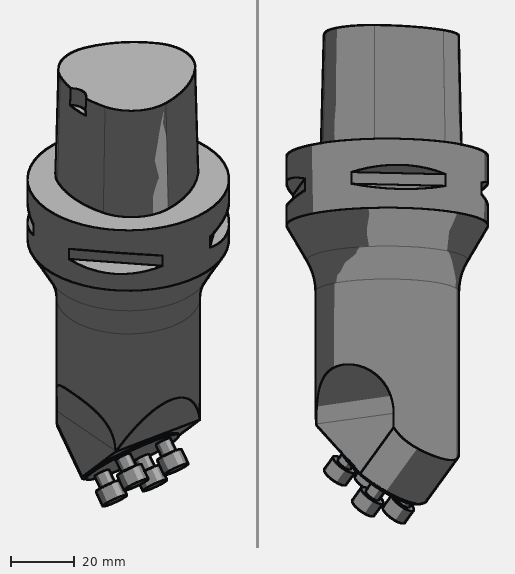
import cadquery as cq
import math

flange_diameter = 63.0
flange_height = 22.0
body_diameter = 45.0
neck_angle = math.radians(30)
neck_radius = 20.0

shank_length = 38.0
shank_taper = math.degrees(math.atan(1 / 40))
lobe_reach = 23.5
lobe_radius = 15.6
side_reach = 20.7
notch_radius = 5.0
notch_center_y = -22.7
notch_depth = 6.1

groove_count = 4
groove_center_z = -12.1
groove_floor_height = 3.7
groove_mouth_height = 7.7
groove_depth = 3.7

head_pivot_z = -95.9
head_length = 3.8
head_diameter = 35.6
seat_diameter = 32.0
seat_height = 0.6
seat_shift = 1.4

flat_width = 33.0
flat_top_z = -85.6
flat_runout_radius = 25.2
relief_top_z = -69.5
relief_angle = math.radians(23.5)

screw_spacing = 15.6
screw_diameter = 5.0
screw_head_diameter = 8.5
screw_head_height = 5.0
screw_length = 10.3

flange_radius = flange_diameter / 2
body_radius = body_diameter / 2
head_radius = head_diameter / 2
flat_offset = flat_width / 2
reach = 153.4

HEAD_DIRECTION = (1, 0, -1)
head_step = head_length / math.sqrt(2)
end_face = cq.Plane(
    origin=(head_step, 0, head_pivot_z - head_step),
    xDir=(0, 1, 0),
    normal=HEAD_DIRECTION,
)


def make_body():
    """Flange, conical neck, blend and a cylinder long enough to be trimmed by the end face."""
    cone_end_radius = body_radius + neck_radius * (1 - math.cos(neck_angle))
    cone_end_z = -flange_height - (flange_radius - cone_end_radius) / math.tan(neck_angle)
    blend_end_z = cone_end_z - neck_radius * math.sin(neck_angle)
    half_angle = neck_angle / 2
    blend_middle = (
        body_radius + neck_radius * (1 - math.cos(half_angle)),
        blend_end_z + neck_radius * math.sin(half_angle),
    )
    return (
        cq.Workplane("XZ")
        .lineTo(flange_radius, 0)
        .lineTo(flange_radius, -flange_height)
        .lineTo(cone_end_radius, cone_end_z)
        .threePointArc(blend_middle, (body_radius, blend_end_z))
        .lineTo(body_radius, -reach)
        .lineTo(0, -reach)
        .close()
        .revolve(360, (0, 0, 0), (0, 1, 0))
    )


def make_shank():
    """Three lobes joined by tangent side arcs, drafted toward the top."""
    lobe_offset = lobe_reach - lobe_radius
    gap = side_reach - lobe_radius
    side_offset = (lobe_offset**2 - gap**2) / (2 * gap - lobe_offset)
    side_radius = side_reach + side_offset
    side_half_angle = math.asin(lobe_offset * math.sin(math.radians(60)) / (side_radius - lobe_radius))

    def on_side(direction, turn):
        """Point on the side arc facing 'direction', turned about the arc's own center."""
        angle = direction + turn
        return (
            side_radius * math.cos(angle) - side_offset * math.cos(direction),
            side_radius * math.sin(angle) - side_offset * math.sin(direction),
        )

    first_side = math.radians(-90)
    outline = cq.Workplane("XY").moveTo(*on_side(first_side, -side_half_angle))
    for index in range(3):
        side = first_side + index * math.radians(120)
        lobe = side + math.radians(60)
        next_side = side + math.radians(120)
        crest = (lobe_reach * math.cos(lobe), lobe_reach * math.sin(lobe))
        outline = outline.threePointArc(on_side(side, 0), on_side(side, side_half_angle))
        outline = outline.threePointArc(crest, on_side(next_side, -side_half_angle))
    shank = outline.close().extrude(shank_length, taper=shank_taper)
    notch = (
        cq.Workplane("XY", origin=(0, notch_center_y, shank_length - notch_depth))
        .circle(notch_radius)
        .extrude(notch_depth)
    )
    return shank.cut(notch)


def cut_grooves(part):
    """Straight grooves with flared walls, halfway between the X and Y axes."""
    floor_x = flange_radius - groove_depth
    half_floor = groove_floor_height / 2
    half_mouth = groove_mouth_height / 2
    groove = (
        cq.Workplane("XZ", origin=(0, 0, groove_center_z))
        .polyline([
            (floor_x, -half_floor),
            (flange_radius, -half_mouth),
            (flange_radius, half_mouth),
            (floor_x, half_floor),
        ])
        .close()
        .extrude(flange_radius, both=True)
    )
    step = 360 / groove_count
    for index in range(groove_count):
        part = part.cut(groove.rotate((0, 0, 0), (0, 0, 1), (index + 0.5) * step))
    return part


def cut_flats(part):
    """Parallel flats that run out upward through a tangent concave arc."""
    arc_end_y = flat_offset + flat_runout_radius
    arc_end_z = flat_top_z + flat_runout_radius
    diagonal = flat_runout_radius * math.sqrt(0.5)
    flat = (
        cq.Workplane("YZ")
        .moveTo(flat_offset, -reach)
        .lineTo(flat_offset, flat_top_z)
        .threePointArc((arc_end_y - diagonal, flat_top_z + diagonal), (arc_end_y, arc_end_z))
        .lineTo(arc_end_y, -reach)
        .close()
        .extrude(reach, both=True)
    )
    return part.cut(flat).cut(flat.mirror("XZ"))


def cut_head(part):
    """End face, rounded underside of the inclined head, and the relief on the +X side."""
    beyond_end = cq.Workplane(end_face).rect(2 * reach, 2 * reach).extrude(reach)
    chord_offset = math.sqrt(head_radius**2 - flat_offset**2)
    outside_rounding = (
        cq.Workplane(end_face)
        .moveTo(-flat_offset, -chord_offset)
        .threePointArc((0, -head_radius), (flat_offset, -chord_offset))
        .lineTo(reach, -chord_offset)
        .lineTo(reach, -reach)
        .lineTo(-reach, -reach)
        .lineTo(-reach, -chord_offset)
        .close()
        .extrude(reach, both=True)
    )
    relief_depth = reach * math.tan(relief_angle)
    relief = (
        cq.Workplane("XZ")
        .polyline([
            (body_radius, relief_top_z),
            (body_radius, relief_top_z - reach),
            (body_radius - relief_depth, relief_top_z - reach),
        ])
        .close()
        .extrude(reach, both=True)
    )
    return part.cut(beyond_end).cut(outside_rounding).cut(relief)


def add_seat_and_screws(part):
    """Round seat on the end face and a square pattern of cap screws."""
    seat_center = cq.Workplane(end_face).center(0, -seat_shift)
    seat = seat_center.circle(seat_diameter / 2).extrude(seat_height)
    shafts = (
        seat_center.rect(screw_spacing, screw_spacing, forConstruction=True)
        .vertices()
        .circle(screw_diameter / 2)
        .extrude(screw_length)
    )
    heads = (
        seat_center.workplane(offset=screw_length - screw_head_height)
        .rect(screw_spacing, screw_spacing, forConstruction=True)
        .vertices()
        .circle(screw_head_diameter / 2)
        .extrude(screw_head_height)
    )
    return part.union(seat).union(shafts).union(heads)


body = cut_head(cut_flats(cut_grooves(make_body())))
result = add_seat_and_screws(body.union(make_shank()))